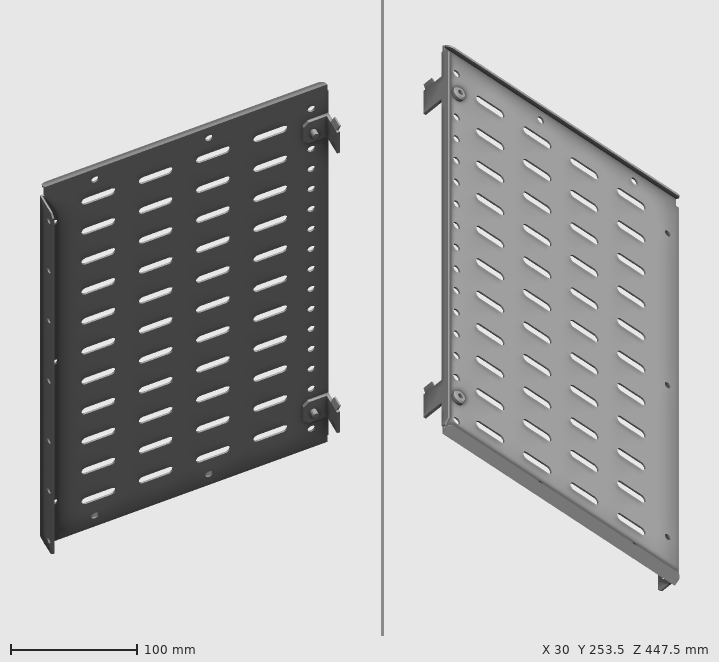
import cadquery as cq
import math

SHEET = 1.5
PANEL_WIDTH = 251.5
PANEL_HEIGHT = 447.5
FRONT_X = -8.0
BACK_X = FRONT_X + SHEET

REAR_FLANGE_HEIGHT = 426.7
REAR_FLANGE_END_X = 15.0
REAR_FLANGE_CHAMFER = 3.5
FRONT_FLANGE_HEIGHT = 431.0
FRONT_FLANGE_END_X = -14.0
FRONT_FLANGE_CHAMFER = 4.5

LIP_MAX_Y = 125.0
LIP_MIN_Y = -122.5
LIP_WIDTH = LIP_MAX_Y - LIP_MIN_Y
LIP_END_X = -15.0
LIP_SLOPE = 30.0
LIP_CORNER_RADIUS = 5.0

SLOT_LENGTH = 30.0
SLOT_WIDTH = 8.0
SLOT_COLUMNS = 4
SLOT_ROWS = 11
SLOT_PITCH_Y = 50.0
SLOT_PITCH_Z = 37.5

SIDE_HOLE_DIAMETER = 6.5
SIDE_HOLE_Y = 111.0
SIDE_HOLE_PITCH = 25.0
SIDE_HOLE_STEPS = 8
SCREW_STEP = 7
SCREW_Z = SCREW_STEP * SIDE_HOLE_PITCH

EDGE_HOLE_DIAMETER = 6.0
EDGE_HOLE_Y = -113.5
EDGE_HOLE_Z = SCREW_Z

END_HOLE_DIAMETER = 6.5
END_HOLE_YS = (21.5, -78.5)
END_HOLE_Z = 210.2

FLANGE_HOLE_DIAMETER = 6.0
FLANGE_HOLE_X = 8.0
FLANGE_HOLE_ZS = (0, 75.0, 137.8, 200.0)

HEAD_DIAMETER = 12.0
HEAD_HEIGHT = 4.5
HEAD_CHAMFER = 1.5
SOCKET_DIAMETER = 5.0
SOCKET_DEPTH = 2.5
SHANK_DIAMETER = 6.0
SHANK_END_X = 2.0

BRACKET_THICKNESS = 2.5
BRACKET_BACK_X = BACK_X + BRACKET_THICKNESS
BRACKET_OUTER_Y = PANEL_WIDTH / 2
BRACKET_DEPTH_Y = 23.0
BRACKET_HALF_HEIGHT = 13.0
BRACKET_END_X = 15.0
BRACKET_CHAMFER = 4.5
TAB_WIDTH = 10.0
TAB_X = 8.0
TAB_HEIGHT = 4.5
TAB_TIP = 1.5
TAB_REACH = 2.0


def box(x0, x1, y0, y1, z0, z1):
    """Box between two corners."""
    return cq.Workplane("XY").box(x1 - x0, y1 - y0, z1 - z0, centered=False).translate((x0, y0, z0))


def both_signs(values):
    """Every value and its negative, with zero only once."""
    return sorted({sign * value for value in values for sign in (1, -1)})


def x_cylinder(diameter, x0, x1, y, z):
    """Cylinder along X."""
    return cq.Workplane("YZ", origin=(x0, y, z)).circle(diameter / 2).extrude(x1 - x0)


def lip():
    """Upper sheet edge with its sloping lip, as one bent strip along Y."""
    slope = math.radians(LIP_SLOPE)
    top = PANEL_HEIGHT / 2
    inner_bend_z = top - SHEET / math.cos(slope) - SHEET * math.tan(slope)
    end_bottom = (LIP_END_X, top - (BACK_X - LIP_END_X) * math.tan(slope))
    end_inner = (
        end_bottom[0] + SHEET * math.sin(slope),
        end_bottom[1] - SHEET * math.cos(slope),
    )
    base_z = REAR_FLANGE_HEIGHT / 2
    strip = (
        cq.Workplane("XZ", origin=(0, LIP_MAX_Y, 0))
        .moveTo(BACK_X, base_z)
        .lineTo(BACK_X, top)
        .lineTo(*end_bottom)
        .lineTo(*end_inner)
        .lineTo(FRONT_X, inner_bend_z)
        .lineTo(FRONT_X, base_z)
        .close()
        .extrude(LIP_WIDTH)
    )
    return strip.faces("<X").edges("not |Y").fillet(LIP_CORNER_RADIUS)


def rear_flange():
    """Flange along the -Y edge, bent toward +X, with chamfered free corners."""
    outer_y = -PANEL_WIDTH / 2
    half = REAR_FLANGE_HEIGHT / 2
    flange = box(FRONT_X, REAR_FLANGE_END_X, outer_y, outer_y + SHEET, -half, half)
    return flange.edges("|Y and >X").chamfer(REAR_FLANGE_CHAMFER)


def front_flange():
    """Flange along the +Y edge, bent toward -X, with chamfered free corners."""
    outer_y = PANEL_WIDTH / 2
    half = FRONT_FLANGE_HEIGHT / 2
    flange = box(FRONT_FLANGE_END_X, BACK_X, outer_y - SHEET, outer_y, -half, half)
    return flange.edges("|Y and <X").chamfer(FRONT_FLANGE_CHAMFER)


def panel_holes():
    """Slots and round holes through the sheet."""
    side_zs = [step * SIDE_HOLE_PITCH for step in range(-SIDE_HOLE_STEPS, SIDE_HOLE_STEPS + 1)]
    holes_by_diameter = [
        (SIDE_HOLE_DIAMETER, [(SIDE_HOLE_Y, z) for z in side_zs]),
        (EDGE_HOLE_DIAMETER, [(EDGE_HOLE_Y, z) for z in both_signs((0, EDGE_HOLE_Z))]),
        (END_HOLE_DIAMETER, [(y, z) for y in END_HOLE_YS for z in both_signs((END_HOLE_Z,))]),
    ]
    sheet_plane = cq.Workplane("YZ", origin=(FRONT_X, 0, 0))
    cutters = (
        sheet_plane.rarray(SLOT_PITCH_Y, SLOT_PITCH_Z, SLOT_COLUMNS, SLOT_ROWS)
        .slot2D(SLOT_LENGTH, SLOT_WIDTH)
        .extrude(SHEET)
    )
    for diameter, places in holes_by_diameter:
        cutters = cutters.add(sheet_plane.pushPoints(places).circle(diameter / 2).extrude(SHEET))
    return cutters


def flange_holes():
    """Row of holes through the -Y flange."""
    places = [(FLANGE_HOLE_X, z) for z in both_signs(FLANGE_HOLE_ZS)]
    return (
        cq.Workplane("XZ", origin=(0, -PANEL_WIDTH / 2 + SHEET, 0))
        .pushPoints(places)
        .circle(FLANGE_HOLE_DIAMETER / 2)
        .extrude(SHEET)
    )


def make_panel():
    """Perforated panel with two side flanges and a lip at each end."""
    half_width = PANEL_WIDTH / 2
    half_height = REAR_FLANGE_HEIGHT / 2
    upper_lip = lip()
    body = box(FRONT_X, BACK_X, -half_width, half_width, -half_height, half_height)
    body = body.union(rear_flange()).union(front_flange())
    body = body.union(upper_lip).union(upper_lip.mirror("XY"))
    for cutter in panel_holes().vals():
        body = body.cut(cq.Workplane(cutter))
    for cutter in flange_holes().vals():
        body = body.cut(cq.Workplane(cutter))
    return body


def make_screw(z):
    """Socket-head screw through the panel and the bracket, head on the -X side."""
    head_x = FRONT_X - HEAD_HEIGHT
    head = x_cylinder(HEAD_DIAMETER, head_x, FRONT_X, SIDE_HOLE_Y, z).faces("<X").chamfer(HEAD_CHAMFER)
    shank = x_cylinder(SHANK_DIAMETER, FRONT_X, SHANK_END_X, SIDE_HOLE_Y, z)
    socket = x_cylinder(SOCKET_DIAMETER, head_x, head_x + SOCKET_DEPTH, SIDE_HOLE_Y, z)
    return head.union(shank).cut(socket)


def make_bracket(z):
    """L-shaped bracket behind the panel, clamped by the screw at height z."""
    bottom = z - BRACKET_HALF_HEIGHT
    top = z + BRACKET_HALF_HEIGHT
    inner_y = BRACKET_OUTER_Y - BRACKET_DEPTH_Y
    plate = box(BACK_X, BRACKET_BACK_X, inner_y, BRACKET_OUTER_Y, bottom, top)
    plate = plate.edges("|X and <Y").chamfer(BRACKET_CHAMFER)
    flange = box(BACK_X, BRACKET_END_X, BRACKET_OUTER_Y - BRACKET_THICKNESS, BRACKET_OUTER_Y, bottom, top)
    hole = x_cylinder(SHANK_DIAMETER, BACK_X, BRACKET_BACK_X, SIDE_HOLE_Y, z)
    return plate.union(flange).union(bracket_tab(top)).cut(hole)


def bracket_tab(root_z):
    """Tab on the upper edge of the bracket flange, leaning outward."""
    inner_y = BRACKET_OUTER_Y - BRACKET_THICKNESS
    tip_y = BRACKET_OUTER_Y + TAB_REACH
    tip_z = root_z + TAB_HEIGHT
    return (
        cq.Workplane("YZ", origin=(TAB_X - TAB_WIDTH / 2, 0, 0))
        .moveTo(inner_y, root_z)
        .lineTo(BRACKET_OUTER_Y, root_z)
        .lineTo(tip_y, tip_z)
        .lineTo(tip_y - TAB_TIP, tip_z)
        .close()
        .extrude(TAB_WIDTH)
    )


panel = make_panel()
screw_heights = both_signs((SCREW_Z,))
screws = [make_screw(z) for z in screw_heights]
brackets = [make_bracket(z) for z in screw_heights]

result = cq.Compound.makeCompound(
    [panel.val()] + [screw.val() for screw in screws] + [bracket.val() for bracket in brackets]
)